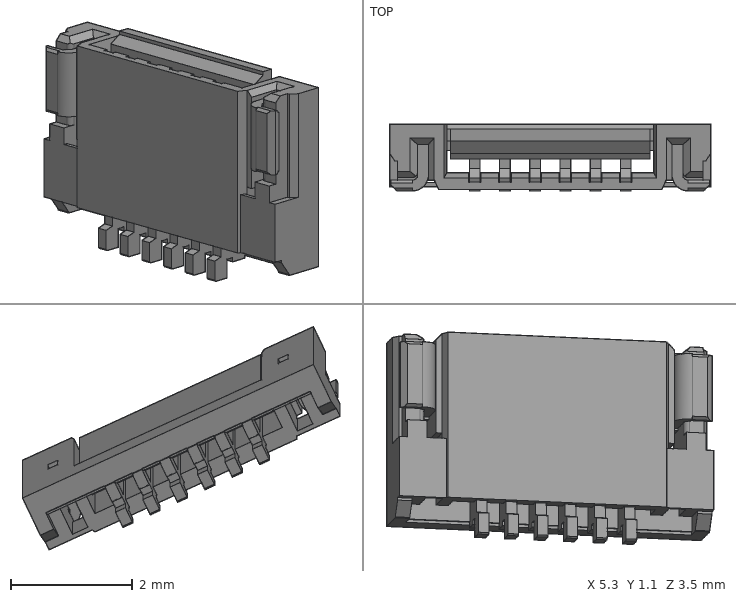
import cadquery as cq
import math


WIDTH = 5.3
HALF = WIDTH / 2
TOP_Z = 3.09
OVERHANG_Z = 0.3
PILLAR_DEPTH = 0.88
COVER_DEPTH = 1.035
BOX_DEPTH = 1.08

BOX_HALF = 1.84
BOX_ROOT_HALF = 1.91
ARM_DEPTH = 0.93
OPENING_HALF = 1.705
OPENING_DEPTH = 0.8
LEAD_SIDE = 0.05
LEAD_FRONT = 0.09
LEAD_HEIGHT = 0.23

WALL_DEPTH = 0.435
WALL_SEAT_DEPTH = 0.28
WALL_SEAT_Z = 0.74
WALL_STEP = 0.105
WALL_BEVEL_DEPTH = 0.08
WALL_BEVEL_HEIGHT = 0.035

FOOT_WIDTH = 0.245
FOOT_BEVEL_DEPTH = 0.185
FOOT_BEVEL_BOTTOM_Z = 0.015
FOOT_BEVEL_TOP_Z = 0.26
WALL_STEP_UP_DEPTH = 0.39
WALL_STEP_UP = 0.05

SLOT_INNER = 2.01
SLOT_OUTER = 2.19
SLOT_BACK = 0.335
SLOT_FLOOR_Z = 1.415
LEAD_IN_HEIGHT = 0.1
SLOT_LEAD_OUTER = 0.12
SLOT_LEAD_INNER = 0.095
SLOT_LEAD_BACK = 0.105
WINDOW_TOP_Z = 1.765
PILLAR_OUTER = 2.52
PILLAR_FOOT_Z = 1.59
COVER_TOP_Z = 1.305
COVER_BACK = 0.96
NOTCH_START_DEPTH = 0.475
NOTCH_DEPTH = 0.605
NOTCH_SLANT = 0.085

TAB_THICKNESS = SLOT_OUTER - SLOT_INNER
TAB_BEND = 0.085
TAB_FRONT = 1.1
TAB_END = 2.63
TAB_BOTTOM_Z = 1.8
TAB_TOP_Z = 2.905
TAB_END_BEVEL = 0.1
TAB_EDGE_BEVEL = 0.05

CONTACT_COUNT = 6
PITCH = 0.5
CONTACT_WIDTH = 0.18
GROOVE_WIDTH = 0.2
CONTACT_FRONT = 0.955
TAIL_BACK = 0.81
TAIL_FRONT = 1.1
TAIL_BOTTOM_Z = -0.295
TAIL_BEVEL = 0.025
TAIL_SHOULDER_Z = 0.06
TAIL_NECK_Z = 0.1
TAIL_ROOT_Z = 0.025
BEAM_BACK = 0.73
BEAM_PEAK_DEPTH = 0.89
BEAM_PEAK_Z = 2.86
BEAM_FRONT_Z = 2.84
BEAM_BACK_Z = 2.705
BASE_BACK = 0.39
BASE_FRONT = 0.68
BASE_TOP_Z = 0.425
BASE_BOTTOM_Z = -0.05

LID_HALF = 1.65
LID_BACK = WALL_BEVEL_DEPTH
LID_RIDGE_DEPTH = 0.28
LID_TOP_Z = 3.21
LID_RIDGE_Z = 3.155
LID_FACE_DEPTH = 0.48
LID_FACE_Z = 3.03
LID_FRONT_DEPTH = 0.58
LID_STEP_Z = 2.44
LID_STEP_HEIGHT = 0.06

CUT_MARGIN = 0.055


def block(x0, x1, depth0, depth1, z0, z1):
    """Box between two X values, two depths and two heights."""
    return cq.Workplane("XY").box(x1 - x0, depth1 - depth0, z1 - z0, centered=False).translate(
        (x0, -depth1, z0)
    )


def plan_prism(points, z0, z1):
    """Vertical prism over an outline of (x, depth) points."""
    outline = [(x, -depth) for x, depth in points]
    return cq.Workplane("XY", origin=(0, 0, z0)).polyline(outline).close().extrude(z1 - z0)


def side_prism(points, x0, x1):
    """Prism along X over an outline of (depth, z) points."""
    outline = [(-depth, z) for depth, z in points]
    return cq.Workplane("YZ", origin=(x0, 0, 0)).polyline(outline).close().extrude(x1 - x0)


def rectangle_loft(low, low_z, high, high_z):
    """Solid between two horizontal rectangles, each given as (x0, x1, depth0, depth1)."""
    wires = []
    for (x0, x1, depth0, depth1), z in ((low, low_z), (high, high_z)):
        corners = [(x0, depth0), (x1, depth0), (x1, depth1), (x0, depth1)]
        wires.append(cq.Wire.makePolygon([cq.Vector(x, -d, z) for x, d in corners], close=True))
    return cq.Workplane(obj=cq.Solid.makeLoft(wires, True))


def both_sides(left):
    """A left-hand feature together with its mirror image."""
    return left.union(left.mirror("YZ"))


def centre_box():
    points = [
        (-BOX_ROOT_HALF, 0),
        (-BOX_ROOT_HALF, ARM_DEPTH),
        (-BOX_HALF, BOX_DEPTH),
        (BOX_HALF, BOX_DEPTH),
        (BOX_ROOT_HALF, ARM_DEPTH),
        (BOX_ROOT_HALF, 0),
    ]
    return plan_prism(points, OVERHANG_Z, TOP_Z)


def left_pillar():
    """Upright outside the tab slot, rounded inside the tab bend and bevelled on top."""
    pillar = block(-PILLAR_OUTER, -SLOT_OUTER, NOTCH_DEPTH, PILLAR_DEPTH, PILLAR_FOOT_Z, TOP_Z)
    pillar = pillar.edges("|Z and >X and <Y").fillet(TAB_BEND)
    bevel = side_prism(
        [
            (PILLAR_DEPTH - LEAD_IN_HEIGHT, TOP_Z),
            (PILLAR_DEPTH, TOP_Z - LEAD_IN_HEIGHT),
            (PILLAR_DEPTH, TOP_Z),
        ],
        -PILLAR_OUTER,
        -SLOT_OUTER,
    )
    foot = block(-PILLAR_OUTER, -SLOT_OUTER, NOTCH_DEPTH, COVER_DEPTH, OVERHANG_Z, PILLAR_FOOT_Z)
    return pillar.cut(bevel).union(foot)


def left_wing():
    """Left end of the housing: rear block, arm, pillar and lower cover."""
    rear_outline = [
        (-HALF, 0),
        (-HALF, NOTCH_START_DEPTH),
        (-HALF + NOTCH_SLANT, NOTCH_DEPTH),
        (-SLOT_OUTER, NOTCH_DEPTH),
        (-SLOT_OUTER, SLOT_BACK),
        (-SLOT_INNER, SLOT_BACK),
        (-SLOT_INNER, ARM_DEPTH),
        (-BOX_ROOT_HALF, ARM_DEPTH),
        (-BOX_ROOT_HALF, 0),
    ]
    wing = plan_prism(rear_outline, COVER_TOP_Z, TOP_Z)
    base = block(-HALF, -OPENING_HALF, 0, PILLAR_DEPTH, 0, COVER_TOP_Z)
    cover = block(-HALF, -BOX_HALF, 0, COVER_DEPTH, OVERHANG_Z, COVER_TOP_Z)
    slot_floor = block(-SLOT_OUTER, -BOX_ROOT_HALF, 0, WALL_DEPTH, COVER_TOP_Z, SLOT_FLOOR_Z)
    for piece in (base, cover, slot_floor, left_pillar()):
        wing = wing.union(piece)

    slot = (-SLOT_OUTER, -SLOT_INNER, SLOT_BACK, BOX_DEPTH)
    slot_mouth = (
        -SLOT_OUTER - SLOT_LEAD_OUTER,
        -SLOT_INNER + SLOT_LEAD_INNER,
        SLOT_BACK - SLOT_LEAD_BACK,
        BOX_DEPTH,
    )
    slot_lead = rectangle_loft(slot, TOP_Z - LEAD_IN_HEIGHT, slot_mouth, TOP_Z)
    window = block(-SLOT_OUTER, -SLOT_INNER, 0, SLOT_BACK, SLOT_FLOOR_Z, WINDOW_TOP_Z)
    pocket = block(-SLOT_OUTER, -BOX_ROOT_HALF, WALL_DEPTH, COVER_BACK, 0, SLOT_FLOOR_Z)
    return wing.cut(slot_lead).cut(window).cut(pocket)


def foot_recesses():
    """Space cleared under the overhang: bevelled at the feet, deeper between them."""
    toe_bevel = side_prism(
        [
            (PILLAR_DEPTH - FOOT_BEVEL_DEPTH, 0),
            (PILLAR_DEPTH - FOOT_BEVEL_DEPTH, FOOT_BEVEL_BOTTOM_Z),
            (PILLAR_DEPTH, FOOT_BEVEL_TOP_Z),
            (PILLAR_DEPTH, 0),
        ],
        -HALF,
        HALF,
    )
    inner = HALF - FOOT_WIDTH
    between_feet = block(-inner, inner, WALL_DEPTH, PILLAR_DEPTH, 0, OVERHANG_Z)
    step_up = block(-inner, inner, WALL_STEP_UP_DEPTH, WALL_DEPTH, 0, WALL_STEP_UP)
    return toe_bevel.union(between_feet).union(step_up)


def opening():
    """Opening through the full height, flared at its mouth and open at the back."""
    shaft = block(-OPENING_HALF, OPENING_HALF, -CUT_MARGIN, OPENING_DEPTH, -CUT_MARGIN, TOP_Z)
    flare_half = OPENING_HALF + LEAD_SIDE
    mouth = rectangle_loft(
        (-OPENING_HALF, OPENING_HALF, -CUT_MARGIN, OPENING_DEPTH),
        TOP_Z - LEAD_HEIGHT,
        (-flare_half, flare_half, -CUT_MARGIN, OPENING_DEPTH + LEAD_FRONT),
        TOP_Z,
    )
    return shaft.union(mouth)


def back_wall():
    """Low stepped wall across the back of the opening, which carries the lid."""
    points = [
        (0, 0),
        (WALL_DEPTH, 0),
        (WALL_DEPTH, WALL_SEAT_Z - WALL_STEP),
        (WALL_SEAT_DEPTH, WALL_SEAT_Z - WALL_STEP),
        (WALL_SEAT_DEPTH, WALL_SEAT_Z),
        (WALL_BEVEL_DEPTH, WALL_SEAT_Z),
        (0, WALL_SEAT_Z - WALL_BEVEL_HEIGHT),
    ]
    return side_prism(points, -OPENING_HALF, OPENING_HALF)


def left_tab():
    """Bent hold-down tab: a leg in the slot and a bevelled foot pointing outward."""
    foot_back = TAB_FRONT - TAB_THICKNESS
    bend_x = -SLOT_OUTER - TAB_BEND
    bend_depth = foot_back - TAB_BEND
    outer_radius = TAB_BEND + TAB_THICKNESS
    diagonal = math.sqrt(0.5)
    tab = (
        cq.Workplane("XY", origin=(0, 0, TAB_BOTTOM_Z))
        .moveTo(-SLOT_OUTER, -SLOT_BACK)
        .lineTo(-SLOT_INNER, -SLOT_BACK)
        .lineTo(-SLOT_INNER, -bend_depth)
        .threePointArc(
            (bend_x + outer_radius * diagonal, -bend_depth - outer_radius * diagonal),
            (bend_x, -TAB_FRONT),
        )
        .lineTo(-TAB_END + TAB_END_BEVEL, -TAB_FRONT)
        .lineTo(-TAB_END, -TAB_FRONT + TAB_END_BEVEL)
        .lineTo(-TAB_END, -foot_back)
        .lineTo(bend_x, -foot_back)
        .threePointArc(
            (bend_x + TAB_BEND * diagonal, -bend_depth - TAB_BEND * diagonal),
            (-SLOT_OUTER, -bend_depth),
        )
        .close()
        .extrude(TAB_TOP_Z - TAB_BOTTOM_Z)
    )
    for depth, inward in ((TAB_FRONT, -1), (foot_back, 1)):
        for z, downward in ((TAB_TOP_Z, -1), (TAB_BOTTOM_Z, 1)):
            corner = [
                (depth, z),
                (depth + inward * TAB_EDGE_BEVEL, z),
                (depth, z + downward * TAB_EDGE_BEVEL),
            ]
            tab = tab.cut(side_prism(corner, -TAB_END, bend_x))
    return tab


def contact_positions():
    first = -PITCH * (CONTACT_COUNT - 1) / 2
    return [first + PITCH * i for i in range(CONTACT_COUNT)]


def groove(x):
    """Groove in the back of the front wall that takes one contact beam."""
    half = GROOVE_WIDTH / 2
    return block(x - half, x + half, OPENING_DEPTH, CONTACT_FRONT, OVERHANG_Z, TOP_Z)


def contact(x):
    """One contact: base through the back wall, upright beam and soldering tail."""
    points = [
        (BASE_BACK, BASE_BOTTOM_Z),
        (BASE_FRONT, BASE_BOTTOM_Z),
        (BASE_FRONT, TAIL_ROOT_Z),
        (TAIL_BACK, TAIL_ROOT_Z),
        (TAIL_BACK, TAIL_BOTTOM_Z),
        (TAIL_FRONT - TAIL_BEVEL, TAIL_BOTTOM_Z),
        (TAIL_FRONT, TAIL_BOTTOM_Z + TAIL_BEVEL),
        (TAIL_FRONT, TAIL_SHOULDER_Z),
        (CONTACT_FRONT, TAIL_NECK_Z),
        (CONTACT_FRONT, BEAM_FRONT_Z),
        (BEAM_PEAK_DEPTH, BEAM_PEAK_Z),
        (BEAM_BACK, BEAM_BACK_Z),
        (BEAM_BACK, BASE_TOP_Z),
        (BASE_BACK, BASE_TOP_Z),
    ]
    return side_prism(points, x - CONTACT_WIDTH / 2, x + CONTACT_WIDTH / 2)


def build_housing():
    body = centre_box().union(both_sides(left_wing())).cut(opening())
    body = body.union(back_wall()).cut(foot_recesses())
    body = body.union(both_sides(left_tab()))
    for x in contact_positions():
        body = body.cut(groove(x)).union(contact(x))
    return body


def build_lid():
    """Flip lid standing on the back wall, with a ridge along its top."""
    points = [
        (LID_BACK, WALL_SEAT_Z),
        (LID_BACK, LID_TOP_Z),
        (LID_RIDGE_DEPTH, LID_TOP_Z),
        (LID_RIDGE_DEPTH, LID_RIDGE_Z),
        (LID_FACE_DEPTH, LID_FACE_Z),
        (LID_FACE_DEPTH, LID_STEP_Z),
        (LID_FRONT_DEPTH, LID_STEP_Z - LID_STEP_HEIGHT),
        (LID_FRONT_DEPTH, WALL_SEAT_Z),
    ]
    return side_prism(points, -LID_HALF, LID_HALF)


housing = build_housing()
lid = build_lid()
result = cq.Compound.makeCompound([housing.solids().val(), lid.val()])